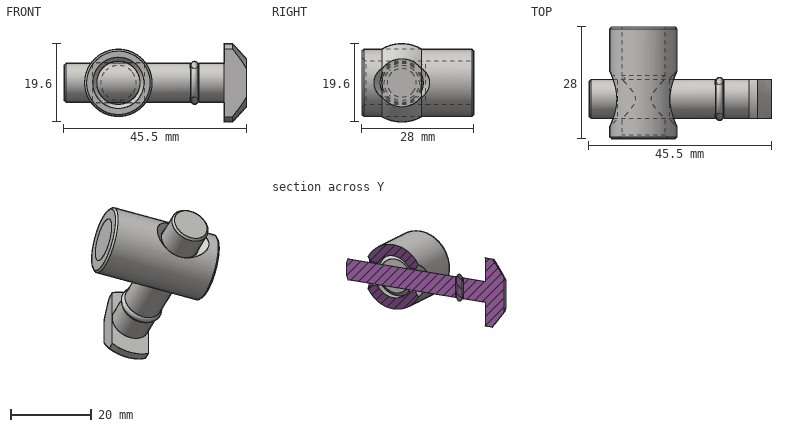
import cadquery as cq

bolt_length = 45.5
shaft_diameter = 9.8
shaft_chamfer = 0.5
head_diameter = 19.6
head_tip_diameter = 12.0
head_thickness = 5.6
head_rim_thickness = 2.1
head_start = bolt_length - head_thickness

groove_start = 31.5
groove_width = 2.1
groove_diameter = 7.2
ring_outer_diameter = 10.8
ring_section = (ring_outer_diameter - groove_diameter) / 2

sleeve_x = 13.5
sleeve_diameter = 16.85
sleeve_length = 28.0
sleeve_front_y = -9.95
sleeve_back_y = sleeve_front_y + sleeve_length
sleeve_chamfer = 0.5
bore_diameter = 10.8
bore_chamfer = 1.0
cross_hole_diameter = 10.05
flare_diameter = 13.92

screw_chamfer = 1.0
screw_tip_y = shaft_diameter / 2


def x_cylinder(diameter, start, length):
    """Cylinder along the X axis."""
    return cq.Workplane("YZ", origin=(start, 0, 0)).circle(diameter / 2).extrude(length)


def y_cylinder(diameter, start, end):
    """Cylinder along the sleeve axis between two Y positions."""
    plane = cq.Workplane("XZ", origin=(sleeve_x, start, 0))
    return plane.circle(diameter / 2).extrude(start - end)


def make_bolt_head():
    """Round head with a conical end, cut to two flats as wide as the shaft."""
    profile = [
        (head_start, 0),
        (head_start, head_diameter / 2),
        (head_start + head_rim_thickness, head_diameter / 2),
        (bolt_length, head_tip_diameter / 2),
        (bolt_length, 0),
    ]
    head = cq.Workplane("XY").polyline(profile).close().revolve(360, (0, 0), (1, 0))
    flats = cq.Workplane("XY").box(2 * bolt_length, shaft_diameter, head_diameter)
    return head.intersect(flats)


def make_bolt():
    shaft = x_cylinder(shaft_diameter, 0, head_start).faces("<X").chamfer(shaft_chamfer)
    groove = x_cylinder(head_diameter, groove_start, groove_width)
    groove = groove.cut(x_cylinder(groove_diameter, groove_start, groove_width))
    return shaft.cut(groove).union(make_bolt_head())


def make_o_ring():
    """Ring seated on the groove floor, midway along the groove."""
    ring_x = groove_start + groove_width / 2
    ring_radius = (groove_diameter + ring_section) / 2
    section = cq.Workplane("XY").center(ring_x, ring_radius).circle(ring_section / 2)
    return section.revolve(360, (-0.45, -ring_radius), (0.45, -ring_radius))


def make_flare(side):
    """Cone that widens the cross hole outwards on one side of the sleeve (-1 or 1)."""
    depth = (flare_diameter - cross_hole_diameter) / 2
    outer_x = sleeve_x + side * sleeve_diameter / 2
    inner_x = outer_x - side * depth
    profile = [
        (inner_x, 0),
        (inner_x, cross_hole_diameter / 2),
        (outer_x, flare_diameter / 2),
        (outer_x, 0),
    ]
    return cq.Workplane("XY").polyline(profile).close().revolve(360, (0, 0), (1, 0))


def make_sleeve():
    sleeve = y_cylinder(sleeve_diameter, sleeve_front_y, sleeve_back_y)
    sleeve = sleeve.faces("<Y or >Y").chamfer(sleeve_chamfer)
    sleeve = sleeve.cut(y_cylinder(bore_diameter, sleeve_front_y, sleeve_back_y))
    bore_rim = cq.selectors.RadiusNthSelector(0)
    sleeve = sleeve.faces("<Y").edges(bore_rim).chamfer(bore_chamfer)
    cross_hole_start = sleeve_x - sleeve_diameter / 2
    sleeve = sleeve.cut(x_cylinder(cross_hole_diameter, cross_hole_start, sleeve_diameter))
    for side in (-1, 1):
        sleeve = sleeve.cut(make_flare(side))
    return sleeve


def make_clamping_screw():
    """Plain screw with a chamfered tip that touches the shaft."""
    screw = y_cylinder(bore_diameter, screw_tip_y, sleeve_back_y)
    return screw.faces("<Y").chamfer(screw_chamfer)


bolt = make_bolt()
o_ring = make_o_ring()
sleeve = make_sleeve()
clamping_screw = make_clamping_screw()

result = cq.Compound.makeCompound([bolt.val(), o_ring.val(), sleeve.val(), clamping_screw.val()])